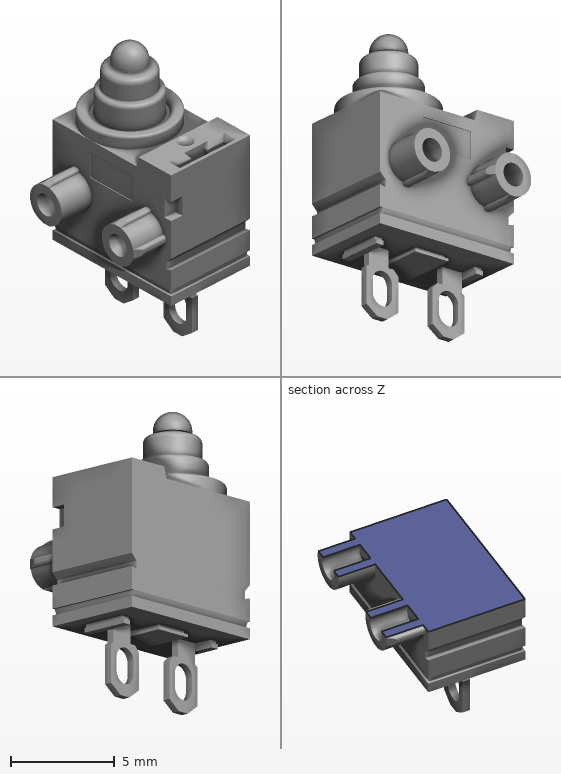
import cadquery as cq
import math


overall_height = 14.9

body_length = 8.25
body_depth = 5.26
body_mid_x = body_length / 2
half_depth = body_depth / 2
base_top = 0.55
groove_top = 0.88
groove_inset = 0.13
deck_z = 6.87
step_top = 7.45
step_foot_x = 5.84
step_crest_x = 5.99

side_notch_depth = 0.33
side_notch_lip_z = 2.04
side_notch_floor_z = 1.95
side_notch_bend_z = 2.35
side_notch_top_z = 2.7

end_notch_length = 0.48
end_notch_bottom = 4.84
end_notch_height = 1.1
end_notch_depth = 0.75

label_left = 2.61
label_length = 3.01
label_bottom = 4.74
label_height = 1.49
label_depth = 0.05
label_corner = 0.1

dimple_x = 6.5
dimple_radius = 0.45
dimple_depth = 0.2

slot_left = 7.23
slot_right = 8.06
slot_half_width = 1.86
slot_depth = 1.0
mouth_depth = 0.3
mouth_left_inset = 0.24
mouth_right_inset = 0.3
mouth_end_inset = mouth_left_inset
bay_half_width = 0.54
bay_mouth_half_width = bay_half_width + mouth_end_inset

plunger_x = half_depth
plunger_top = 11.3
collar_radius = 2.62
collar_top = 7.6
collar_edge = 0.15
collar_rim_radius = 2.25
collar_round = 0.31
tier_radius = 3.5 / 2
tier_top = 8.79
tier_round = 0.22
foot_round = 0.09
cap_radius = 1.43
cap_top = 10.05
cap_round = 0.31
neck_radius = 0.77
dome_radius = 0.95
dome_bottom = 10.18

peg_z = 3.59
peg_spacing = 5.0
left_peg_x = 1.61
peg_radius = 1.1
peg_length = 2.0
peg_bore_diameter = 1.2
rib_half_width = 0.24
rib_crest = 1.3
rib_corner = 0.18
rib_taper_length = 0.48

foot_length = 0.43
foot_half_width = 1.31
foot_neck_half_width = 1.19
foot_neck_height = 0.16
foot_bottom = -0.4
foot_outer_x = 0.83

boss_length = 1.77
boss_half_width = 1.33
flange_length = 2.04
flange_half_width = 1.48
flange_top = -0.15
flange_bottom = -0.3

tab_thickness = 0.4
tab_bottom = plunger_top - overall_height
tab_stem_left = foot_outer_x + foot_length
tab_stem_right = 2.47
tab_left = 1.1
tab_right = 3.07
tab_mid_x = (tab_left + tab_right) / 2
tab_outer_shoulder_z = -1.06
tab_outer_shoulder_drop = 0.09
tab_inner_shoulder_z = -0.92
tab_inner_corner = 0.3
tab_tip_half_width = 0.31
tab_tip_height = 0.49
eye_width = 1.19
eye_length = 1.82
eye_mid_z = -2.09


def block(x0, x1, y0, y1, z0, z1):
    return cq.Workplane("XY").box(x1 - x0, y1 - y0, z1 - z0, centered=False).translate((x0, y0, z0))


def mirror_x(shape):
    """Copy reflected about the middle of the body length."""
    return shape.mirror("YZ", (body_mid_x, 0, 0))


def tapered_pocket(x0, x1, half_width, left_inset, right_inset, end_inset):
    """Solid that narrows from the top face of the step down to the mouth depth."""
    upper = cq.Workplane("XY", (0, 0, step_top)).moveTo((x0 + x1) / 2, 0).rect(x1 - x0, 2 * half_width)
    low_x0 = x0 + left_inset
    low_x1 = x1 - right_inset
    return (
        upper.workplane(offset=-mouth_depth)
        .moveTo((low_x0 + low_x1) / 2, 0)
        .rect(low_x1 - low_x0, 2 * (half_width - end_inset))
        .loft(ruled=True)
    )


def make_housing():
    outline = [
        (0, groove_top),
        (0, side_notch_lip_z),
        (side_notch_depth, side_notch_floor_z),
        (side_notch_depth, side_notch_bend_z),
        (0, side_notch_top_z),
        (0, deck_z),
        (step_foot_x, deck_z),
        (step_crest_x, step_top),
        (body_length, step_top),
        (body_length, side_notch_top_z),
        (body_length - side_notch_depth, side_notch_bend_z),
        (body_length - side_notch_depth, side_notch_floor_z),
        (body_length, side_notch_lip_z),
        (body_length, groove_top),
    ]
    upper = cq.Workplane("XZ").polyline(outline).close().extrude(half_depth, both=True)
    base = block(0, body_length, -half_depth, half_depth, 0, base_top)
    waist_profile = [
        (-half_depth + groove_inset, base_top),
        (half_depth - groove_inset, base_top),
        (half_depth, groove_top),
        (-half_depth, groove_top),
    ]
    waist = (
        cq.Workplane("YZ", (groove_inset, 0, 0))
        .polyline(waist_profile)
        .close()
        .extrude(body_length - 2 * groove_inset)
    )
    return upper.union(waist).union(base)


def cut_housing(body):
    end_notch = block(
        body_length - end_notch_length, body_length,
        -half_depth, -half_depth + end_notch_depth,
        end_notch_bottom, end_notch_bottom + end_notch_height,
    )
    label = block(
        label_left, label_left + label_length,
        -half_depth, -half_depth + label_depth,
        label_bottom, label_bottom + label_height,
    ).edges("|Y").fillet(label_corner)
    dimple_sphere = (dimple_radius**2 + dimple_depth**2) / (2 * dimple_depth)
    dimple = cq.Workplane("XY").sphere(dimple_sphere).translate(
        (dimple_x, 0, step_top - dimple_depth + dimple_sphere)
    )
    return body.cut(end_notch).cut(label).cut(dimple).cut(make_slot())


def make_slot():
    """Slot with a bevelled mouth and a wider bay at the middle of its left side."""
    inner_left = slot_left + mouth_left_inset
    inner_right = slot_right - mouth_right_inset
    inner_half_width = slot_half_width - mouth_end_inset
    floor_z = step_top - slot_depth
    mouth = tapered_pocket(
        slot_left, slot_right, slot_half_width, mouth_left_inset, mouth_right_inset, mouth_end_inset
    )
    shaft = block(inner_left, inner_right, -inner_half_width, inner_half_width, floor_z, step_top)
    bay_mouth = tapered_pocket(slot_left, inner_right, bay_mouth_half_width, 0, 0, mouth_end_inset)
    bay = block(slot_left, inner_right, -bay_half_width, bay_half_width, floor_z, step_top)
    return mouth.union(shaft).union(bay_mouth).union(bay)


def make_plunger():
    """Turned stack: collar with a rounded well, two round-edged tiers, a neck and a dome."""
    well_floor = collar_top - collar_round
    dome_mid_z = plunger_top - dome_radius
    arc_reach = dome_radius * math.sqrt(0.5)
    profile = (
        cq.Workplane("XZ")
        .moveTo(0, deck_z)
        .lineTo(collar_radius, deck_z)
        .lineTo(collar_radius, collar_top - collar_edge)
        .radiusArc((collar_radius - collar_edge, collar_top), -collar_edge)
        .lineTo(collar_rim_radius, collar_top)
        .radiusArc((collar_rim_radius - collar_round, well_floor), -collar_round)
        .lineTo(tier_radius + foot_round, well_floor)
        .radiusArc((tier_radius, well_floor + foot_round), foot_round)
        .lineTo(tier_radius, tier_top - tier_round)
        .radiusArc((tier_radius - tier_round, tier_top), -tier_round)
        .lineTo(cap_radius + foot_round, tier_top)
        .radiusArc((cap_radius, tier_top + foot_round), foot_round)
        .lineTo(cap_radius, cap_top - cap_round)
        .radiusArc((cap_radius - cap_round, cap_top), -cap_round)
        .lineTo(neck_radius, cap_top)
        .lineTo(neck_radius, dome_bottom)
        .lineTo(dome_radius, dome_bottom)
        .lineTo(dome_radius, dome_mid_z)
        .threePointArc((arc_reach, dome_mid_z + arc_reach), (0, plunger_top))
        .close()
    )
    return profile.revolve(360, (0, 0, 0), (0, 1, 0)).translate((plunger_x, 0, 0))


def make_peg(x, rib_angles):
    """Hollow peg on the front face with tapered ribs along it."""
    peg = cq.Workplane("XZ").circle(peg_radius).extrude(peg_length)
    rib = block(-rib_half_width, rib_half_width, -peg_length, 0, 0, rib_crest)
    rib = rib.faces(">Z").edges("|Y").fillet(rib_corner)
    taper = (
        cq.Workplane("YZ")
        .moveTo(-peg_length, peg_radius)
        .lineTo(-peg_length, rib_crest)
        .lineTo(-peg_length + rib_taper_length, rib_crest)
        .close()
        .extrude(rib_half_width, both=True)
    )
    rib = rib.cut(taper)
    for angle in rib_angles:
        peg = peg.union(rib.rotate((0, 0, 0), (0, 1, 0), angle))
    bore_radius = peg_bore_diameter / 2
    bore = cq.Workplane("XZ").circle(bore_radius).extrude(peg_length)
    return peg.cut(bore).translate((x, -half_depth, peg_z))


def make_terminal():
    """Solder tab with an oblong eye, and the stepped foot beside its stem."""
    outline = [
        (tab_stem_left, 0),
        (tab_stem_right, 0),
        (tab_stem_right, tab_inner_shoulder_z),
        (tab_right - tab_inner_corner, tab_inner_shoulder_z),
        (tab_right, tab_inner_shoulder_z - tab_inner_corner),
        (tab_right, tab_bottom + tab_tip_height),
        (tab_mid_x + tab_tip_half_width, tab_bottom),
        (tab_mid_x - tab_tip_half_width, tab_bottom),
        (tab_left, tab_bottom + tab_tip_height),
        (tab_left, tab_outer_shoulder_z - tab_outer_shoulder_drop),
        (tab_stem_left, tab_outer_shoulder_z),
    ]
    tab = cq.Workplane("XZ").polyline(outline).close().extrude(tab_thickness / 2, both=True)
    eye = (
        cq.Workplane("XZ")
        .center(tab_mid_x, eye_mid_z)
        .slot2D(eye_length, eye_width, 90)
        .extrude(tab_thickness, both=True)
    )
    foot_neck = block(
        foot_outer_x, tab_stem_left, -foot_neck_half_width, foot_neck_half_width, -foot_neck_height, 0
    )
    foot = block(
        foot_outer_x, tab_stem_left, -foot_half_width, foot_half_width, foot_bottom, -foot_neck_height
    )
    return tab.cut(eye).union(foot_neck).union(foot)


def make_underside_boss():
    boss = block(
        body_mid_x - boss_length / 2, body_mid_x + boss_length / 2,
        -boss_half_width, boss_half_width, flange_top, 0,
    )
    flange = block(
        body_mid_x - flange_length / 2, body_mid_x + flange_length / 2,
        -flange_half_width, flange_half_width, flange_bottom, flange_top,
    )
    return boss.union(flange)


terminal = make_terminal()
result = (
    cut_housing(make_housing())
    .union(make_plunger())
    .union(make_peg(left_peg_x, (0, 180)))
    .union(make_peg(left_peg_x + peg_spacing, (0, 90, 180, 270)))
    .union(make_underside_boss())
    .union(terminal)
    .union(mirror_x(terminal))
)